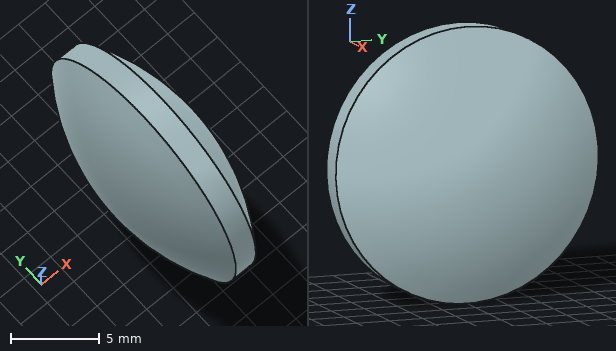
import cadquery as cq

diameter = 16.0
center_thickness = 6.7
edge_thickness = 1.5

rim_radius = diameter / 2
half_center = center_thickness / 2
half_edge = edge_thickness / 2
sag = half_center - half_edge
sphere_radius = (rim_radius**2 + sag**2) / (2 * sag)

mid_height = rim_radius / 2
mid_x = half_center - sphere_radius + (sphere_radius**2 - mid_height**2) ** 0.5


def lens():
    """Revolve the upper half of the lens section about the optical axis."""
    half_section = (
        cq.Workplane("XZ")
        .moveTo(-half_center, 0)
        .threePointArc((-mid_x, mid_height), (-half_edge, rim_radius))
        .lineTo(half_edge, rim_radius)
        .threePointArc((mid_x, mid_height), (half_center, 0))
        .close()
    )
    return half_section.revolve(360, (0, 0, 0), (1, 0, 0))


result = lens()